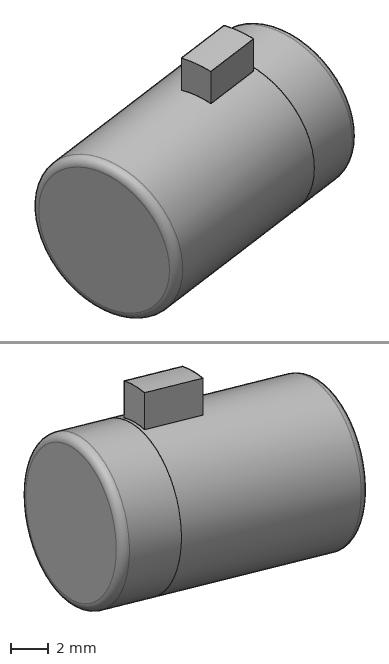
import cadquery as cq

total_length = 15.72
diameter = 9.8
edge_radius = 0.5
radius = diameter / 2

cap_length = 3.8
barrel_length = total_length - cap_length

key_width = 1.98
key_length = 3.71
key_gap_to_cap = 0.22
overall_height = 11.88
key_top_radius = overall_height - radius


def cylinder_along_y(start_y, length, cylinder_radius):
    """Solid cylinder on the Y axis, growing from start_y toward +Y."""
    return cq.Workplane("XZ", origin=(0, start_y, 0)).circle(cylinder_radius).extrude(-length)


def make_key():
    """Upright key with flat sides and a top curved about the barrel axis."""
    start_y = barrel_length - key_gap_to_cap - key_length
    block = cq.Workplane("XY").box(
        key_width, key_length, key_top_radius, centered=(True, False, False)
    )
    block = block.translate((0, start_y, 0))
    return block.intersect(cylinder_along_y(start_y, key_length, key_top_radius))


def make_barrel():
    """Main cylinder with a rounded -Y rim and the key on top."""
    barrel = cylinder_along_y(0, barrel_length, radius)
    barrel = barrel.faces("<Y").edges().fillet(edge_radius)
    return barrel.union(make_key())


def make_cap():
    """End cap with a rounded +Y rim, seated flat against the barrel."""
    cap = cylinder_along_y(barrel_length, cap_length, radius)
    return cap.faces(">Y").edges().fillet(edge_radius)


barrel = make_barrel()
cap = make_cap()

result = cq.Compound.makeCompound([barrel.solids().val(), cap.solids().val()])